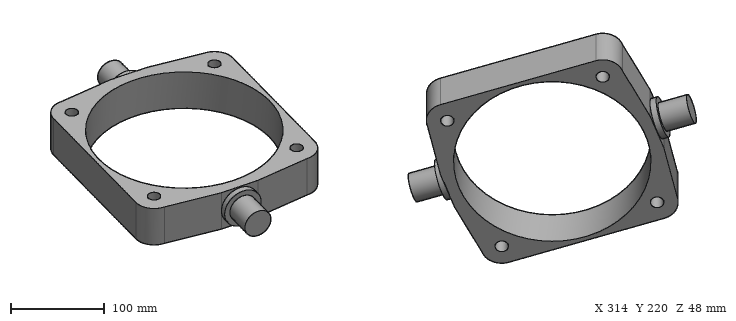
import cadquery as cq
import math

plate_depth = 220.0
plate_height = 48.0
bore_diameter = 210.0
bolt_offset = 87.5
bolt_diameter = 14.0
corner_radius = plate_depth / 2 - bolt_offset

total_length = 314.0
shaft_diameter = 32.0
collar_diameter = 45.0
collar_face_x = 125.0
seat_x = 118.0
seat_half_width = collar_diameter / 2


def make_plate():
    """Plate with quarter-round corners and sides tapering from the corners out to the seats."""
    arc_reach = corner_radius * math.sqrt(0.5)
    arc_start = (plate_depth / 2, bolt_offset)
    arc_middle = (bolt_offset + arc_reach, bolt_offset + arc_reach)
    arc_end = (bolt_offset, plate_depth / 2)
    quarter = (
        cq.Workplane("XY")
        .workplane(offset=-plate_height / 2)
        .lineTo(seat_x, 0)
        .lineTo(seat_x, seat_half_width)
        .lineTo(*arc_start)
        .threePointArc(arc_middle, arc_end)
        .lineTo(0, plate_depth / 2)
        .close()
        .extrude(plate_height)
    )
    half = quarter.union(quarter.mirror("YZ"))
    return half.union(half.mirror("XZ")).clean()


def make_rod(diameter, length):
    """Round bar along X, centred on the origin."""
    return cq.Workplane("YZ").circle(diameter / 2).extrude(length / 2, both=True)


bore = cq.Workplane("XY").circle(bore_diameter / 2).extrude(plate_height, both=True)
bolt_holes = (
    cq.Workplane("XY")
    .rect(2 * bolt_offset, 2 * bolt_offset, forConstruction=True)
    .vertices()
    .circle(bolt_diameter / 2)
    .extrude(plate_height, both=True)
)

result = (
    make_plate()
    .union(make_rod(collar_diameter, 2 * collar_face_x))
    .union(make_rod(shaft_diameter, total_length))
    .cut(bore)
    .cut(bolt_holes)
)